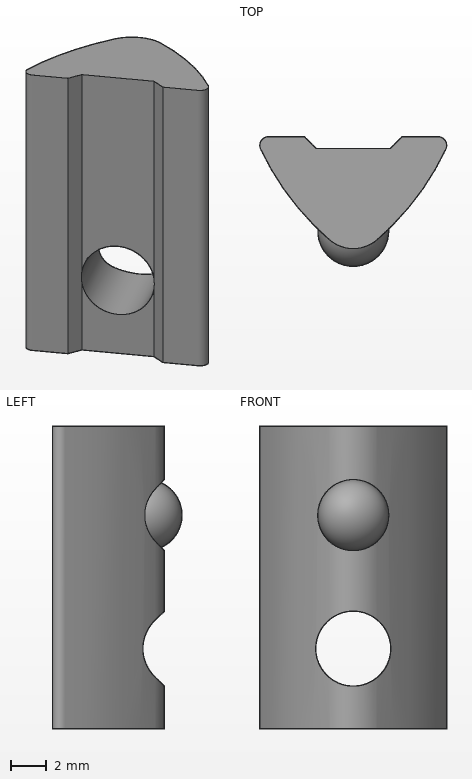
import cadquery as cq
import math

length = 17.0
width = 10.5
nut_depth = 6.29
corner_radius = 0.5
nose_radius = 2.04
flank_radius = 15.3

channel_floor_width = 4.15
channel_depth = 0.66

hole_diameter = 4.2
hole_height = 4.5
ball_diameter = 4.0
ball_height = 12.0
overall_depth = 7.3
ball_y = -(overall_depth - ball_diameter / 2)


def point_toward(start, target, distance):
    """Point at a given distance from start, on the line through target."""
    span = math.dist(start, target)
    return tuple(a + (b - a) * distance / span for a, b in zip(start, target))


def flank_arc_center(corner_center, nose_center):
    """Center of the right flank arc, which encloses and touches the corner and nose circles."""
    to_corner = flank_radius - corner_radius
    to_nose = flank_radius - nose_radius
    span = math.dist(nose_center, corner_center)
    along = (to_nose**2 - to_corner**2 + span**2) / (2 * span)
    across = math.sqrt(to_nose**2 - along**2)
    ux = (corner_center[0] - nose_center[0]) / span
    uy = (corner_center[1] - nose_center[1]) / span
    return (
        nose_center[0] + along * ux - across * uy,
        nose_center[1] + along * uy + across * ux,
    )


def mirrored(point):
    return (-point[0], point[1])


def make_blank():
    """Extruded nut section, with all its arcs tangent to each other."""
    half_width = width / 2
    corner_center = (half_width - corner_radius, -corner_radius)
    nose_center = (0, nose_radius - nut_depth)
    flank_center = flank_arc_center(corner_center, nose_center)

    back_corner = (corner_center[0], 0)
    side = (half_width, -corner_radius)
    flank_start = point_toward(flank_center, corner_center, flank_radius)
    flank_end = point_toward(flank_center, nose_center, flank_radius)
    chord_middle = tuple((a + b) / 2 for a, b in zip(flank_start, flank_end))
    flank_middle = point_toward(flank_center, chord_middle, flank_radius)
    nose_tip = (0, -nut_depth)

    return (
        cq.Workplane("XY")
        .moveTo(*mirrored(back_corner))
        .lineTo(*back_corner)
        .tangentArcPoint(side, relative=False)
        .tangentArcPoint(flank_start, relative=False)
        .threePointArc(flank_middle, flank_end)
        .threePointArc(nose_tip, mirrored(flank_end))
        .threePointArc(mirrored(flank_middle), mirrored(flank_start))
        .tangentArcPoint(mirrored(side), relative=False)
        .tangentArcPoint(mirrored(back_corner), relative=False)
        .close()
        .extrude(length)
    )


def make_channel():
    half_floor = channel_floor_width / 2
    half_mouth = half_floor + channel_depth
    return (
        cq.Workplane("XY")
        .polyline([
            (-half_mouth, 0),
            (-half_floor, -channel_depth),
            (half_floor, -channel_depth),
            (half_mouth, 0),
        ])
        .close()
        .extrude(length)
    )


def make_bore(diameter, height, end_y):
    """Round bore at a given height, from the nose back to the depth end_y."""
    return (
        cq.Workplane("XZ", origin=(0, end_y, height))
        .circle(diameter / 2)
        .extrude(nut_depth + end_y)
    )


def make_nut():
    through_hole = make_bore(hole_diameter, hole_height, 0)
    ball_seat = make_bore(ball_diameter, ball_height, ball_y + ball_diameter / 2)
    return make_blank().cut(make_channel()).cut(through_hole).cut(ball_seat)


def make_ball():
    return cq.Workplane("XY", origin=(0, ball_y, ball_height)).sphere(ball_diameter / 2)


nut = make_nut()
ball = make_ball()

result = cq.Compound.makeCompound([nut.solids().val(), ball.val()])